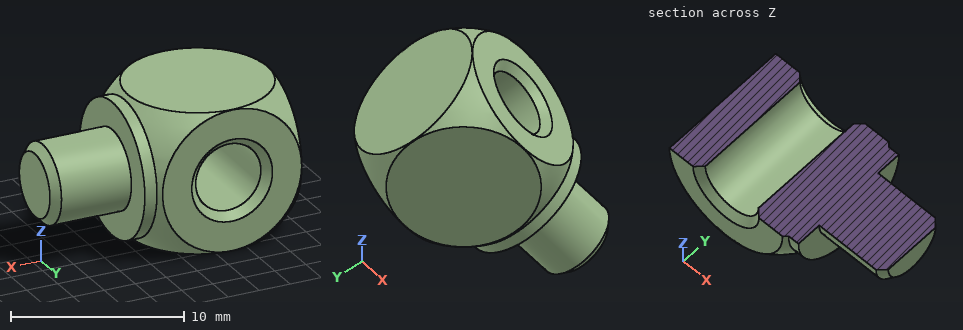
import cadquery as cq

head_size = 9.0
head_centre_x = head_size / 2
sphere_diameter = 12.7

collar_diameter = 8.5
collar_end_x = 10.0

pin_diameter = 5.0
pin_end_x = 15.0
tip_chamfer = 0.5

hole_diameter = 4.2
countersink_diameter = 5.2
countersink_depth = (countersink_diameter - hole_diameter) / 2


def make_head():
    block = cq.Workplane("XY").box(
        collar_end_x, head_size, head_size, centered=(False, True, True)
    )
    sphere = cq.Workplane("XY").sphere(sphere_diameter / 2).translate((head_centre_x, 0, 0))
    return block.intersect(sphere)


def cylinder_along_x(diameter, end_x):
    start = cq.Workplane("YZ").workplane(offset=head_centre_x)
    return start.circle(diameter / 2).extrude(end_x - head_centre_x)


def make_pin():
    return cylinder_along_x(pin_diameter, pin_end_x).faces(">X").chamfer(tip_chamfer)


def make_cross_hole():
    half_width = head_size / 2
    bore_radius = hole_diameter / 2
    mouth_radius = countersink_diameter / 2
    half_section = [
        (0, -half_width),
        (mouth_radius, -half_width),
        (bore_radius, -half_width + countersink_depth),
        (bore_radius, half_width - countersink_depth),
        (mouth_radius, half_width),
        (0, half_width),
    ]
    profile = cq.Workplane("XY").polyline(half_section).close()
    return profile.revolve(360, (0, 0, 0), (0, 1, 0)).translate((head_centre_x, 0, 0))


collar = cylinder_along_x(collar_diameter, collar_end_x)
result = make_head().union(collar).union(make_pin()).cut(make_cross_hole())